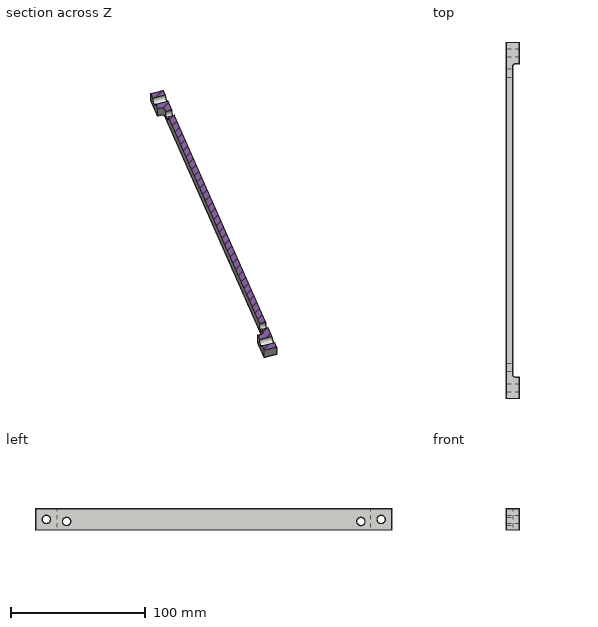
import cadquery as cq

width = 10.0
length = 264.35
height = 16.0

web_thickness = 5.0
pad_length = 16.0
corner_radius = 2.0

hole_diameter = 6.0
outer_hole_inset = pad_length / 2
hole_spacing = 15.0
inner_hole_drop = 1.5

outer_hole_y = length / 2 - outer_hole_inset
inner_hole_y = outer_hole_y - hole_spacing


def make_bar():
    return cq.Workplane("XY").box(width, length, height)


def make_recess():
    """Block removed from the +X side, rounded along its two inside corners."""
    depth = width - web_thickness
    recess_length = length - 2 * pad_length
    block = cq.Workplane("XY").box(depth, recess_length, height)
    block = block.edges("<X and |Z").fillet(corner_radius)
    return block.translate(((width - depth) / 2, 0, 0))


def drill_pair(body, y, z):
    """Drill two holes through the width, at +y and -y."""
    drills = (
        cq.Workplane("YZ")
        .pushPoints([(y, z), (-y, z)])
        .circle(hole_diameter / 2)
        .extrude(width / 2, both=True)
    )
    return body.cut(drills)


result = make_bar().cut(make_recess())
result = drill_pair(result, outer_hole_y, 0)
result = drill_pair(result, inner_hole_y, -inner_hole_drop)